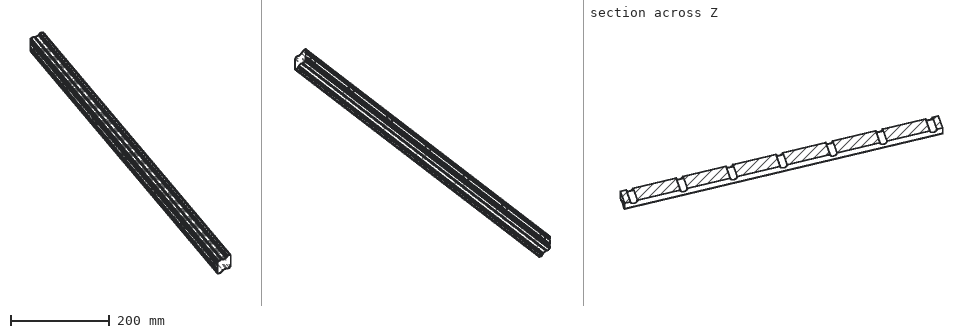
import cadquery as cq
import math

length = 670.0
height = 32.0
width = 45.0
top = height / 2
bottom = -height / 2
side = width / 2

raceway_radius = 3.2
raceway_leg = 2.55
head_chamfer = 0.87
head_land = 4.48

waist_depth = 4.15
waist_bottom = -3.5
foot_chamfer = 2.0

relief_inner = 7.0
relief_outer = 14.7
relief_depth = 0.6

hole_diameter = 14.0
hole_pitch = 105.0
hole_count = 7


def half_section():
    """Section of the +Z half of the rail, closed along the centre plane."""
    half_chord = raceway_leg / math.sqrt(2)
    sagitta = raceway_radius - math.sqrt(raceway_radius**2 - half_chord**2)
    arc_inset = raceway_leg / 2 + sagitta / math.sqrt(2)

    upper_start = top - head_chamfer
    land_top = upper_start - raceway_leg
    land_bottom = land_top - head_land
    lower_end = land_bottom - raceway_leg
    waist_top = lower_end - (waist_depth - raceway_leg)
    foot_top = waist_bottom - waist_depth
    relief_floor = bottom + relief_depth

    raceway_inner = side - raceway_leg
    arc_middle = side - arc_inset
    waist = side - waist_depth

    return (
        cq.Workplane("YZ", origin=(-length / 2, 0, 0))
        .moveTo(top, 0)
        .lineTo(top, raceway_inner - head_chamfer)
        .lineTo(upper_start, raceway_inner)
        .threePointArc((upper_start - arc_inset, arc_middle), (land_top, side))
        .lineTo(land_bottom, side)
        .threePointArc((lower_end + arc_inset, arc_middle), (lower_end, raceway_inner))
        .lineTo(waist_top, waist)
        .lineTo(waist_bottom, waist)
        .lineTo(foot_top, side)
        .lineTo(bottom + foot_chamfer, side)
        .lineTo(bottom, side - foot_chamfer)
        .lineTo(bottom, relief_outer)
        .lineTo(relief_floor, relief_outer)
        .lineTo(relief_floor, relief_inner)
        .lineTo(bottom, relief_inner)
        .lineTo(bottom, 0)
        .close()
    )


def rail_body():
    """Full rail: the extruded half section joined to its mirror image."""
    half = half_section().extrude(length)
    return half.union(half.mirror("XY")).clean()


def mounting_holes():
    """Cylinders through the full height, one per mounting hole."""
    first_hole = -hole_pitch * (hole_count - 1) / 2
    centres = [(first_hole + i * hole_pitch, 0) for i in range(hole_count)]
    return (
        cq.Workplane("XZ", origin=(0, top, 0))
        .pushPoints(centres)
        .circle(hole_diameter / 2)
        .extrude(height)
    )


result = rail_body().cut(mounting_holes())